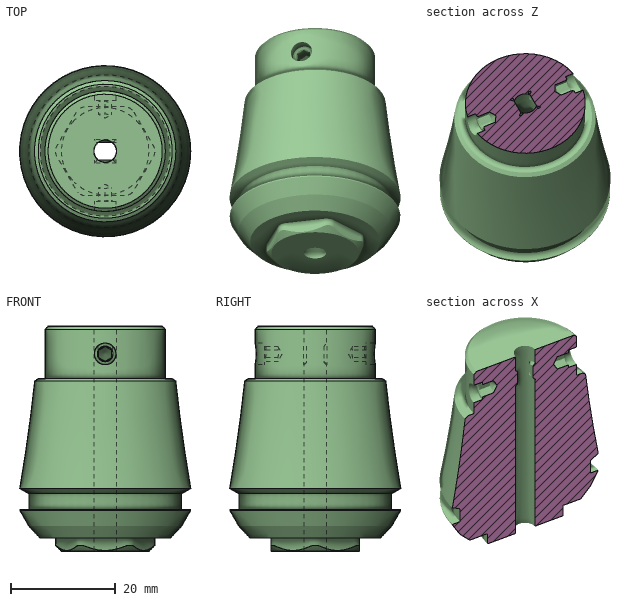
import cadquery as cq
import math

height = 43.0
hex_height = 2.5
nose_top = 4.8
rim_bottom = 7.78
rim_top = 8.0
groove_top = 11.0
flank_bottom = 12.0
shoulder_level = 33.0

neck_radius = 23.0 / 2
flank_bottom_radius = 32.71 / 2
flank_top_radius = 13.5
groove_radius = 29.2 / 2
rim_radius = 32.6 / 2
nose_radius = 12.4

neck_chamfer = 0.6
shoulder_chamfer_height = 0.5
shoulder_chamfer_width = 0.7
flank_hollow = 0.17

hex_width = 17.0
hex_corner_radius = 2.1
hex_end_radius = 8.35

bore_diameter = 4.27

screw_diameter = 4.13
screw_length = 8.0
screw_tip = 1.65
screw_level = 37.7
screw_tip_chamfer = 0.6
socket_width = 2.5
socket_depth = 2.5
socket_mouth_diameter = 3.0
socket_point_angle = 120.0


def hexagon_corner_radius(width):
    """Radius over the corners of a hexagon of the given width across flats."""
    return width / math.sqrt(3)


def make_body():
    """Turned body: nose cones, rim, groove, hollow flank, shoulder and neck."""
    return (
        cq.Workplane("XZ")
        .moveTo(0, hex_height)
        .lineTo(nose_radius, hex_height)
        .lineTo(groove_radius, nose_top)
        .lineTo(rim_radius, rim_bottom)
        .lineTo(rim_radius, rim_top)
        .lineTo(groove_radius, rim_top)
        .lineTo(groove_radius, groove_top)
        .lineTo(flank_bottom_radius, flank_bottom)
        .sagittaArc((flank_top_radius, shoulder_level - shoulder_chamfer_height), flank_hollow)
        .lineTo(flank_top_radius - shoulder_chamfer_width, shoulder_level)
        .lineTo(neck_radius, shoulder_level)
        .lineTo(neck_radius, height - neck_chamfer)
        .lineTo(neck_radius - neck_chamfer, height)
        .lineTo(0, height)
        .close()
        .revolve(360, (0, 0), (0, 1))
    )


def make_hex():
    """Hexagon with corners on X, rounded corners and a 45 degree end chamfer."""
    corner_diameter = 2 * hexagon_corner_radius(hex_width)
    prism = (
        cq.Workplane("XY")
        .polygon(6, corner_diameter)
        .extrude(hex_height)
        .edges("|Z")
        .fillet(hex_corner_radius)
    )
    chamfer_cone = (
        cq.Workplane("XZ")
        .lineTo(hex_end_radius, 0)
        .lineTo(hex_end_radius + hex_height, hex_height)
        .lineTo(0, hex_height)
        .close()
        .revolve(360, (0, 0), (0, 1))
    )
    return prism.intersect(chamfer_cone)


def make_bore():
    return cq.Workplane("XY").circle(bore_diameter / 2).extrude(height)


def cross_plane(distance):
    """Plane at the screw level facing -Y, the given distance out from the bore axis."""
    return cq.Workplane("XZ", origin=(0, -distance, screw_level))


def make_screw_hole():
    return cross_plane(screw_tip).circle(screw_diameter / 2).extrude(neck_radius)


def make_screw():
    """Set screw on the -Y side with a hexagon socket ending in a drill point."""
    screw_face = screw_tip + screw_length
    socket_radius = hexagon_corner_radius(socket_width)
    point_depth = socket_radius / math.tan(math.radians(socket_point_angle / 2))
    full_depth = socket_depth + point_depth
    shank = (
        cross_plane(screw_tip)
        .circle(screw_diameter / 2)
        .extrude(screw_length)
        .faces(">Y")
        .chamfer(screw_tip_chamfer)
    )
    hexagon = (
        cross_plane(screw_face)
        .transformed(rotate=(0, 0, 90))
        .polygon(6, 2 * socket_radius)
        .extrude(-full_depth)
    )
    drill = (
        cq.Workplane("XY", origin=(0, -screw_face, screw_level))
        .lineTo(socket_radius, 0)
        .lineTo(socket_radius, socket_depth)
        .lineTo(0, full_depth)
        .close()
        .revolve(360, (0, 0), (0, 1))
    )
    countersink = (
        cq.Workplane("XY", origin=(0, -screw_face, screw_level))
        .lineTo(socket_mouth_diameter / 2, 0)
        .lineTo(0, socket_mouth_diameter / 2)
        .close()
        .revolve(360, (0, 0), (0, 1))
    )
    return shank.cut(hexagon.intersect(drill)).cut(countersink)


result = make_body().union(make_hex()).cut(make_bore())

for turn in (0, 180):
    screw_hole = make_screw_hole().rotate((0, 0, 0), (0, 0, 1), turn)
    screw = make_screw().rotate((0, 0, 0), (0, 0, 1), turn)
    result = result.cut(screw_hole).union(screw)